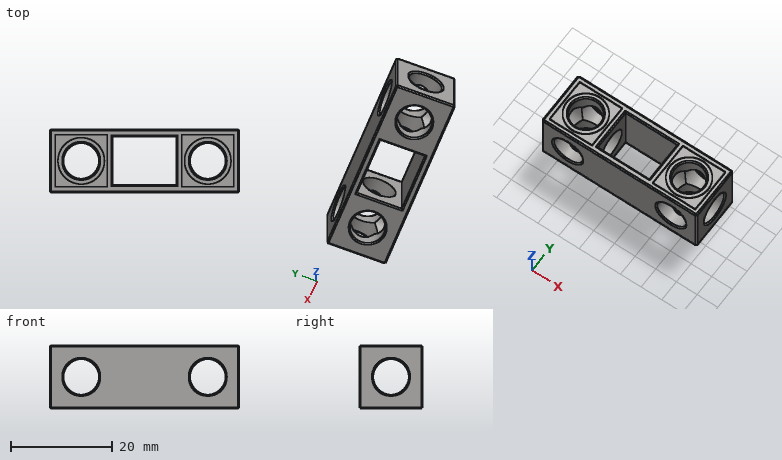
import cadquery as cq

CELL = 12.5
CELL_COUNT = 3
LENGTH = CELL * CELL_COUNT
HALF_CELL = CELL / 2
END_CELL_CENTERS = (-CELL, CELL)

CHAMFER = 0.3

HOLE_DIAMETER = 7.0

WINDOW_LENGTH = CELL
WINDOW_WIDTH = 9.5

RECESS_SIDE = 10.3
RECESS_DEPTH = 0.2
RING_DIAMETER = 9.2


def make_beam():
    """Solid block with all outer edges broken."""
    return cq.Workplane("XY").box(LENGTH, CELL, CELL).edges().chamfer(CHAMFER)


def make_window():
    """Cutter for the window, flared by the edge break at the top and bottom faces."""
    window = cq.Workplane("XY").box(WINDOW_LENGTH, WINDOW_WIDTH, CELL)
    for side in (1, -1):
        flare = (
            cq.Workplane("XY")
            .workplane(offset=side * HALF_CELL)
            .rect(WINDOW_LENGTH + 2 * CHAMFER, WINDOW_WIDTH + 2 * CHAMFER)
            .workplane(offset=-side * CHAMFER)
            .rect(WINDOW_LENGTH, WINDOW_WIDTH)
            .loft(ruled=True)
        )
        window = window.union(flare)
    return window


def make_hole(length):
    """Cutter along Z for a through hole, flared by the edge break at both ends."""
    radius = HOLE_DIAMETER / 2
    half_length = length / 2
    return (
        cq.Workplane("XZ")
        .moveTo(0, -half_length)
        .lineTo(radius + CHAMFER, -half_length)
        .lineTo(radius, -half_length + CHAMFER)
        .lineTo(radius, half_length - CHAMFER)
        .lineTo(radius + CHAMFER, half_length)
        .lineTo(0, half_length)
        .close()
        .revolve(360, (0, 0, 0), (0, 1, 0))
    )


def make_recess(center_x):
    """Cutter for the square recess in the top face, less the standing ring."""
    floor = cq.Workplane("XY", origin=(center_x, 0, HALF_CELL - RECESS_DEPTH))
    square = floor.rect(RECESS_SIDE, RECESS_SIDE).extrude(RECESS_DEPTH)
    ring = floor.circle(RING_DIAMETER / 2).extrude(RECESS_DEPTH)
    return square.cut(ring)


result = make_beam().cut(make_window())

result = result.cut(make_hole(LENGTH).rotate((0, 0, 0), (0, 1, 0), 90))

vertical_hole = make_hole(CELL)
sideways_hole = vertical_hole.rotate((0, 0, 0), (1, 0, 0), 90)
for cell_center in END_CELL_CENTERS:
    result = result.cut(vertical_hole.translate((cell_center, 0, 0)))
    result = result.cut(sideways_hole.translate((cell_center, 0, 0)))
    result = result.cut(make_recess(cell_center))